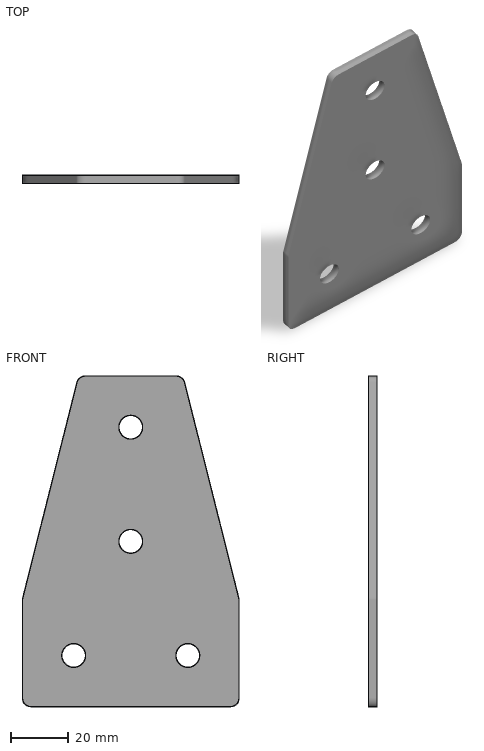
import cadquery as cq

height = 116.0
base_width = 76.0
top_width = 36.7
shoulder_height = 37.8
thickness = 3.0
corner_radius = 3.0

hole_diameter = 8.2
hole_pitch = 40.0
end_margin = 18.0

bottom = -height / 2
top = height / 2
shoulder = bottom + shoulder_height


def plate():
    """Tapered plate with every outline corner rounded."""
    outline = [
        (-base_width / 2, bottom),
        (base_width / 2, bottom),
        (base_width / 2, shoulder),
        (top_width / 2, top),
        (-top_width / 2, top),
        (-base_width / 2, shoulder),
    ]
    blank = cq.Workplane("XZ").polyline(outline).close().extrude(thickness / 2, both=True)
    return blank.edges("|Y").fillet(corner_radius)


def bolt_holes():
    """Cutters for two holes across the base and two up the centre line."""
    lower_row = bottom + end_margin
    centres = [
        (-hole_pitch / 2, lower_row),
        (hole_pitch / 2, lower_row),
        (0, lower_row + hole_pitch),
        (0, lower_row + 2 * hole_pitch),
    ]
    circles = cq.Workplane("XZ").pushPoints(centres).circle(hole_diameter / 2)
    return circles.extrude(thickness, both=True)


result = plate().cut(bolt_holes())